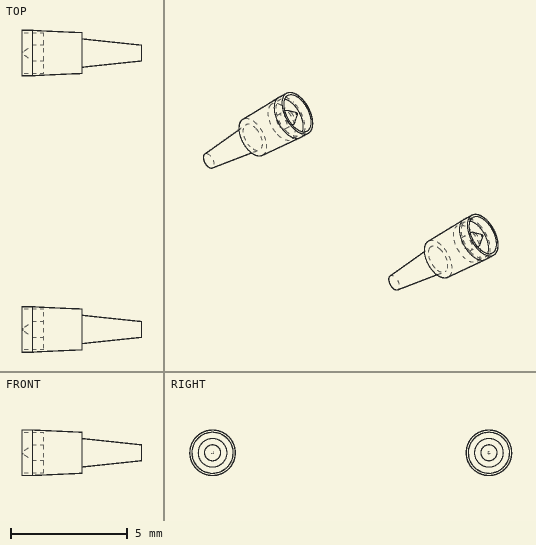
import cadquery as cq

overall_length = 5.12
connector_spacing = 11.85

collar_diameter = 1.96
collar_bore_diameter = 1.74
collar_length = 0.45

sleeve_end_x = 2.58
sleeve_end_diameter = 1.77

insulator_diameter = collar_bore_diameter
insulator_thickness = collar_length
insulator_back_x = collar_length + insulator_thickness

contact_diameter = 0.68
contact_tip_diameter = 0.1
contact_tip_x = 0.04

tail_root_diameter = 1.23
tail_tip_diameter = 0.69


def turned_cone(start_x, end_x, start_diameter, end_diameter):
    """Solid of revolution about the X axis whose diameter changes evenly along its length."""
    return (
        cq.Workplane("XZ")
        .moveTo(start_x, 0)
        .lineTo(start_x, start_diameter / 2)
        .lineTo(end_x, end_diameter / 2)
        .lineTo(end_x, 0)
        .close()
        .revolve(360, (0, 0, 0), (1, 0, 0))
    )


def turned_cylinder(start_x, end_x, diameter):
    return turned_cone(start_x, end_x, diameter, diameter)


def make_collar():
    ring = turned_cylinder(0, collar_length, collar_diameter)
    return ring.cut(turned_cylinder(0, collar_length, collar_bore_diameter))


def make_sleeve():
    barrel = turned_cone(collar_length, sleeve_end_x, collar_diameter, sleeve_end_diameter)
    return barrel.cut(turned_cylinder(collar_length, insulator_back_x, insulator_diameter))


def make_insulator():
    disc = turned_cylinder(collar_length, insulator_back_x, insulator_diameter)
    return disc.cut(turned_cylinder(collar_length, insulator_back_x, contact_diameter))


def make_contact():
    shank = turned_cylinder(collar_length, insulator_back_x, contact_diameter)
    nose = turned_cone(contact_tip_x, collar_length, contact_tip_diameter, contact_diameter)
    return shank.union(nose)


def make_tail():
    return turned_cone(sleeve_end_x, overall_length, tail_root_diameter, tail_tip_diameter)


bodies = []
for connector_y in (-connector_spacing / 2, connector_spacing / 2):
    for make_body in (make_collar, make_sleeve, make_insulator, make_contact, make_tail):
        bodies.append(make_body().translate((0, connector_y, 0)).val())

result = cq.Compound.makeCompound(bodies)